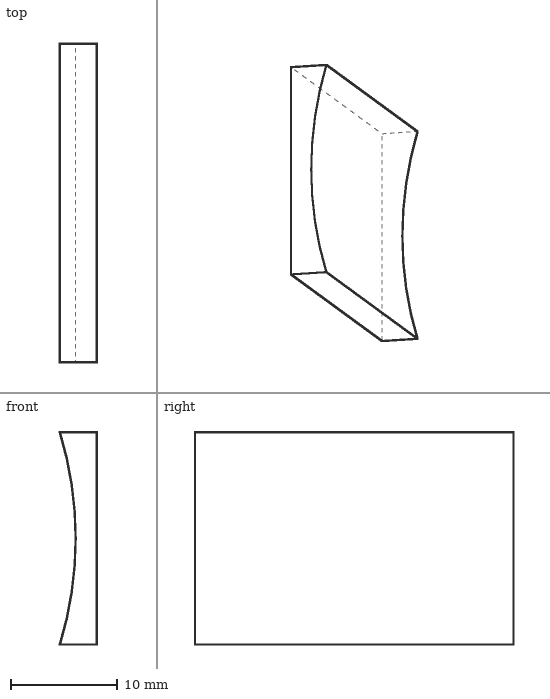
import cadquery as cq
import math

length = 30.0
height = 20.0
center_thickness = 2.0
concave_radius = 34.3

half_height = height / 2
sag = concave_radius - math.sqrt(concave_radius**2 - half_height**2)


def lens_profile():
    """Cross-section in XZ, with the deepest point of the concave arc at the origin."""
    return (
        cq.Workplane("XZ")
        .moveTo(-sag, -half_height)
        .lineTo(center_thickness, -half_height)
        .lineTo(center_thickness, half_height)
        .lineTo(-sag, half_height)
        .threePointArc((0, 0), (-sag, -half_height))
        .close()
    )


result = lens_profile().extrude(length / 2, both=True)